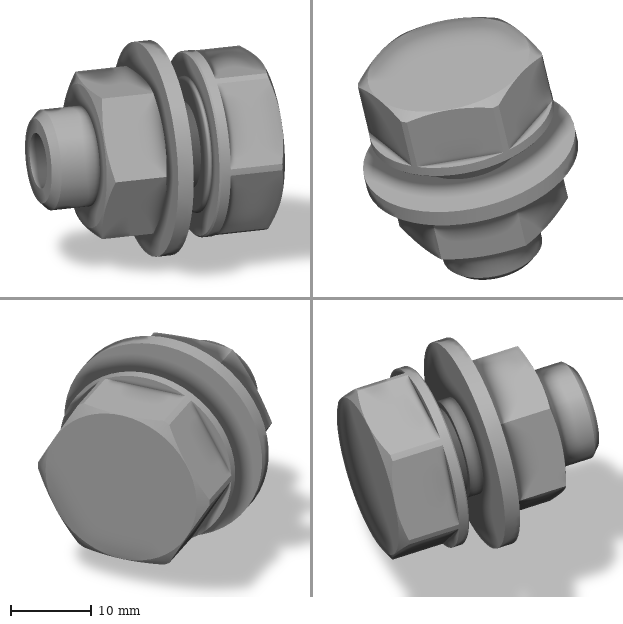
import cadquery as cq
import math

total_length = 29.0
tip_y = -total_length / 2
head_top_y = total_length / 2

thread_diameter = 12.65
tip_chamfer = 1.0
neck_diameter = 10.93
head_flats = 20.68
head_height = 7.57
head_top_diameter = 20.6
head_chamfer_angle = 30.0
flange_diameter = 23.4
flange_thickness = 1.42
flange_chamfer = 0.2
seat_diameter = 17.23
seat_thickness = 0.45
seat_fillet = 0.44
neck_length = 1.8
bore_diameter = 7.02

nut_flats = 18.6
nut_thickness = 7.95
nut_face_diameter = 18.12
nut_chamfer_angle = 20.5
nut_offset = 6.0
washer_diameter = 27.0
washer_thickness = 2.03

flange_top_y = head_top_y - head_height
seat_top_y = flange_top_y - flange_thickness
seat_face_y = seat_top_y - seat_thickness
thread_end_y = seat_face_y - neck_length
nut_y = tip_y + nut_offset
washer_y = nut_y + nut_thickness


def cylinder(diameter, start_y, length):
    """Cylinder on the Y axis, running toward +Y from start_y."""
    plane = cq.Workplane("XZ", origin=(0, start_y, 0))
    return plane.circle(diameter / 2).extrude(-length)


def hexagon(flats, start_y, length):
    """Hexagonal prism on the Y axis with two corners on the X axis."""
    corner_diameter = flats / math.cos(math.radians(30))
    plane = cq.Workplane("XZ", origin=(0, start_y, 0))
    return plane.polygon(6, corner_diameter).extrude(-length)


def corner_envelope(outer_diameter, face_diameter, angle, start_y, length, both_ends):
    """Turned blank whose conical ends trim the corners of a hexagon."""
    outer = outer_diameter / 2
    face = face_diameter / 2
    drop = (outer - face) * math.tan(math.radians(angle))
    end_y = start_y + length
    profile = cq.Workplane("XY").moveTo(0, start_y)
    if both_ends:
        profile = profile.lineTo(face, start_y).lineTo(outer, start_y + drop)
    else:
        profile = profile.lineTo(outer, start_y)
    profile = profile.lineTo(outer, end_y - drop).lineTo(face, end_y).lineTo(0, end_y).close()
    return profile.revolve(360, (0, 0, 0), (0, 1, 0))


def make_bolt():
    head = hexagon(head_flats, flange_top_y, head_height).intersect(
        corner_envelope(flange_diameter, head_top_diameter, head_chamfer_angle,
                        flange_top_y, head_height, both_ends=False))
    flange = cylinder(flange_diameter, seat_top_y, flange_thickness)
    flange = flange.faces("<Y").chamfer(flange_chamfer)
    seat = cylinder(seat_diameter, seat_face_y, seat_thickness)
    seat = seat.faces("<Y").edges().fillet(seat_fillet)
    neck = cylinder(neck_diameter, thread_end_y, neck_length)
    thread = cylinder(thread_diameter, tip_y, thread_end_y - tip_y)
    thread = thread.faces("<Y").chamfer(tip_chamfer)
    bolt = head.union(flange).union(seat).union(neck).union(thread)
    return bolt.cut(cylinder(bore_diameter, tip_y, seat_face_y - tip_y))


def make_nut():
    corner_diameter = nut_flats / math.cos(math.radians(30))
    envelope = corner_envelope(corner_diameter, nut_face_diameter, nut_chamfer_angle,
                               nut_y, nut_thickness, both_ends=True)
    nut = hexagon(nut_flats, nut_y, nut_thickness).intersect(envelope)
    return nut.cut(cylinder(thread_diameter, nut_y, nut_thickness))


def make_washer():
    disc = cylinder(washer_diameter, washer_y, washer_thickness)
    return disc.cut(cylinder(thread_diameter, washer_y, washer_thickness))


bolt = make_bolt()
nut = make_nut()
washer = make_washer()

result = cq.Compound.makeCompound([bolt.val(), nut.val(), washer.val()])